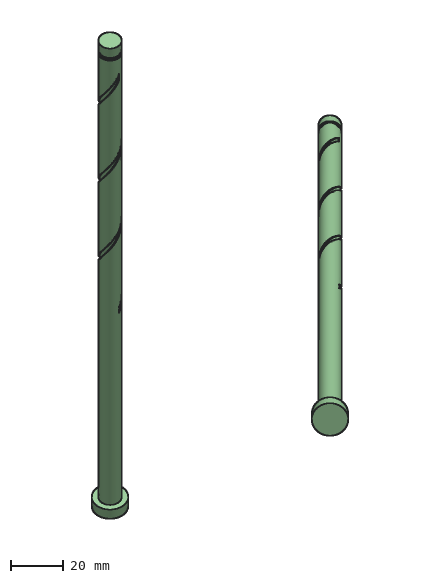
import cadquery as cq

total_length = 250.0
head_diameter = 14.0
head_thickness = 5.0
stem_radius = 4.5

ring_groove_top = total_length - 5.0
ring_groove_width = 1.5
ring_groove_depth = 0.8

spiral_start = 108.0
spiral_turns = 3
spiral_length = 125.0
spiral_groove_height = 3.0
spiral_groove_depth = 0.5
cutter_overlap = 0.5


def make_pin():
    head = cq.Workplane("XY").circle(head_diameter / 2).extrude(head_thickness)
    stem = cq.Workplane("XY").circle(stem_radius).extrude(total_length)
    return head.union(stem)


def make_ring_cutter():
    return (
        cq.Workplane("XY")
        .workplane(offset=ring_groove_top - ring_groove_width)
        .circle(stem_radius + cutter_overlap)
        .circle(stem_radius - ring_groove_depth)
        .extrude(ring_groove_width)
    )


def make_spiral_cutter():
    path = cq.Wire.makeHelix(
        pitch=spiral_length / spiral_turns,
        height=spiral_length,
        radius=stem_radius,
        center=cq.Vector(0, 0, spiral_start),
    )
    inner_radius = stem_radius - spiral_groove_depth
    radial_size = spiral_groove_depth + cutter_overlap
    return (
        cq.Workplane("XZ")
        .center(inner_radius + radial_size / 2, spiral_start)
        .rect(radial_size, spiral_groove_height)
        .sweep(cq.Workplane(path), isFrenet=True)
    )


result = make_pin().cut(make_ring_cutter()).cut(make_spiral_cutter())